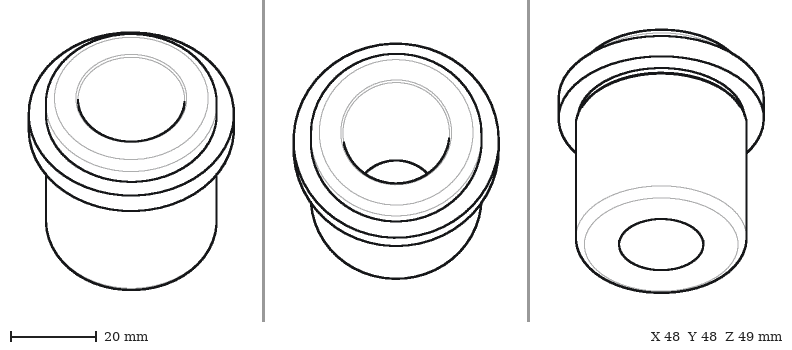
import cadquery as cq

total_height = 49.0
body_diameter = 40.0
flange_diameter = 48.0
flange_thickness = 6.0
collar_height = 6.0
edge_radius = 2.0
relief_depth = 0.5
relief_height = 2.0
relief_slope_height = 0.65
bore_top_diameter = 25.0
bore_bottom_diameter = 19.7
bore_mouth_rounding = 0.5

body_radius = body_diameter / 2
flange_radius = flange_diameter / 2
relief_radius = body_radius - relief_depth
flange_top = total_height - collar_height
flange_bottom = flange_top - flange_thickness
relief_bottom = flange_bottom - relief_height
bore_top_radius = bore_top_diameter / 2
bore_bottom_radius = bore_bottom_diameter / 2


def revolve_profile(profile):
    """Turn a closed (radius, height) profile around the Z axis."""
    return profile.close().revolve(360, (0, 0, 0), (0, 1, 0))


outside = revolve_profile(
    cq.Workplane("XZ")
    .lineTo(body_radius, 0)
    .lineTo(body_radius, relief_bottom)
    .lineTo(relief_radius, relief_bottom + relief_slope_height)
    .lineTo(relief_radius, flange_bottom)
    .lineTo(flange_radius, flange_bottom)
    .lineTo(flange_radius, flange_top)
    .lineTo(body_radius, flange_top)
    .lineTo(body_radius, total_height)
    .lineTo(0, total_height)
)
outside = outside.faces("<Z or >Z").edges().fillet(edge_radius)

bore = revolve_profile(
    cq.Workplane("XZ")
    .lineTo(bore_bottom_radius, 0)
    .lineTo(bore_top_radius, total_height)
    .lineTo(0, total_height)
)
bushing = outside.cut(bore)
result = bushing.faces(">Z").edges(cq.selectors.RadiusNthSelector(0)).fillet(bore_mouth_rounding)